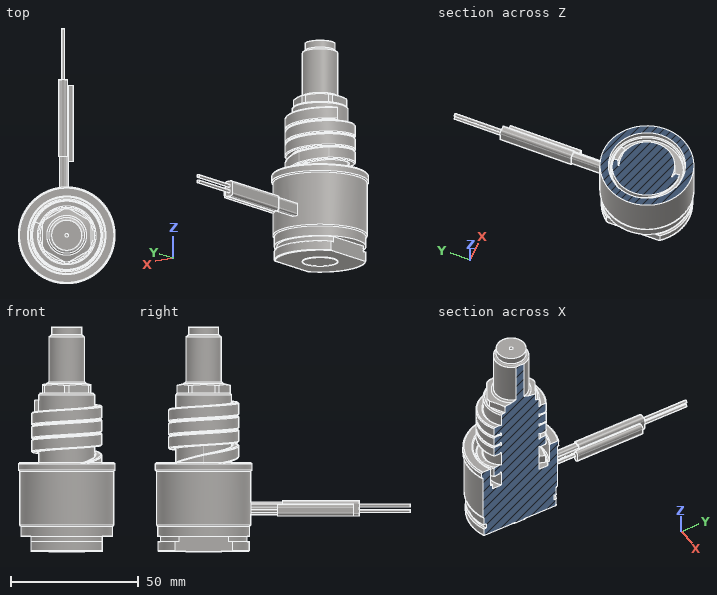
import cadquery as cq
import math

total_height = 88.2

foot_radius = 7.0
foot_height = 0.3
base_radius = 18.0
base_chamfer = 0.3
base_neck_radius = 17.0
base_neck_z = 4.1
base_ring_z = 6.2
flat_half_width = 14.0

housing_radius = 18.5
housing_z = 10.1
rim_radius = 19.0
rim_z = 31.7
rim_chamfer = 0.5
housing_top_z = 35.1
bore_radius = 15.0
bore_chamfer = 0.4
bore_ledge_radius = 14.3
bore_ledge_z = 26.0
bore_floor_z = 24.0

stem_radius = 11.0
stem_chamfer = 0.6
stem_top_z = 62.3
hex_across_flats = 19.0
hex_corner_radius = 10.5
hex_edge_z = 65.4
hex_crown_radius = 7.8
hex_crown_z = 66.1
shaft_radius = 7.0
shaft_base_z = 66.8
shaft_top_z = 84.4
shoulder_radius = 6.3
shoulder_z = 84.9
tip_radius = 5.9
tip_base_z = 85.4
center_hole_radius = 0.7
center_hole_depth = 1.5

coil_outer_radius = 13.8
coil_inner_radius = 10.5
coil_height = 5.0
coil_edge_chamfer = 0.4
coil_inner_chamfer = 1.0
coil_pitch = 5.3
coil_start_angle = 142.0
coil_end_angle = 157.0
coil_full_turns = 3
coil_start_z = 38.6
lead_stretches = [(10.0, 52.0), (15.0, 90.0), (21.0, 90.0), (10.0, 200.0)]

cable_root_y = 16.0
cable_z = 17.2
wire_end_y = 81.0
wire_diameter = 1.2
wire_spacing = 2.2
wire_x = -1.4
return_wire_x = 0.2
cable_width = 2.9
cable_height = 5.1
cable_fillet = 0.7
sheath_width = 3.6
sheath_height = 6.1
sheath_fillet = 1.0
sheath_start_y = 30.9
sheath_end_y = 61.0
sleeve_x = 1.3
sleeve_z = 16.5
sleeve_width = 2.6
sleeve_height = 4.7
sleeve_start_y = 28.9
sleeve_end_y = 58.8


def revolve_profile(points):
    """Revolve a closed (radius, z) outline about the Z axis."""
    return cq.Workplane("XZ").polyline(points).close().revolve(360, (0, 0, 0), (0, 1, 0))


def make_base():
    profile = revolve_profile([
        (0, 0),
        (foot_radius, 0),
        (foot_radius, foot_height),
        (base_radius - base_chamfer, foot_height),
        (base_radius, foot_height + base_chamfer),
        (base_radius, base_neck_z),
        (base_neck_radius, base_neck_z),
        (base_neck_radius, base_ring_z),
        (0, base_ring_z),
    ])
    flats = cq.Workplane("XY").box(2 * flat_half_width, 2 * base_radius, 2 * base_ring_z)
    return profile.intersect(flats)


def make_housing():
    return revolve_profile([
        (0, base_ring_z),
        (base_radius, base_ring_z),
        (base_radius, housing_z),
        (housing_radius, housing_z + housing_radius - base_radius),
        (housing_radius, rim_z),
        (rim_radius, rim_z + rim_chamfer),
        (rim_radius, housing_top_z - rim_chamfer),
        (rim_radius - rim_chamfer, housing_top_z),
        (bore_radius + bore_chamfer, housing_top_z),
        (bore_radius, housing_top_z - bore_chamfer),
        (bore_radius, bore_ledge_z),
        (bore_ledge_radius, bore_ledge_z),
        (bore_ledge_radius, bore_floor_z),
        (0, bore_floor_z),
    ])


def make_stem():
    stem = revolve_profile([
        (0, base_ring_z),
        (stem_radius, base_ring_z),
        (stem_radius, stem_top_z - stem_chamfer),
        (stem_radius - stem_chamfer, stem_top_z),
        (0, stem_top_z),
    ])
    hex_diameter = hex_across_flats / math.cos(math.pi / 6)
    hexagon = (
        cq.Workplane("XY").workplane(offset=stem_top_z)
        .polygon(6, hex_diameter).extrude(hex_crown_z - stem_top_z)
        .rotate((0, 0, 0), (0, 0, 1), 30)
    )
    crown = revolve_profile([
        (0, stem_top_z),
        (hex_corner_radius, stem_top_z),
        (hex_corner_radius, hex_edge_z),
        (hex_crown_radius, hex_crown_z),
        (0, hex_crown_z),
    ])
    return stem.union(hexagon.intersect(crown))


def make_shaft():
    shaft = revolve_profile([
        (0, stem_top_z),
        (shaft_radius, stem_top_z),
        (hex_crown_radius, hex_crown_z),
        (shaft_radius, shaft_base_z),
        (shaft_radius, shaft_top_z),
        (shoulder_radius, shoulder_z),
        (tip_radius, tip_base_z),
        (tip_radius, total_height),
        (0, total_height),
    ])
    hole = (
        cq.Workplane("XY").workplane(offset=total_height)
        .circle(center_hole_radius).extrude(-center_hole_depth)
    )
    return shaft.cut(hole)


def make_strip(pitch, turns, bottom_z, start_angle):
    """Right-handed helical strip climbing from bottom_z at start_angle."""
    path = cq.Wire.makeHelix(pitch, pitch * turns, coil_outer_radius)
    section = cq.Workplane("XZ").polyline([
        (coil_inner_radius, coil_inner_chamfer),
        (coil_inner_radius + coil_inner_chamfer, 0),
        (coil_outer_radius - coil_edge_chamfer, 0),
        (coil_outer_radius, coil_edge_chamfer),
        (coil_outer_radius, coil_height - coil_edge_chamfer),
        (coil_outer_radius - coil_edge_chamfer, coil_height),
        (coil_inner_radius + coil_inner_chamfer, coil_height),
        (coil_inner_radius, coil_height - coil_inner_chamfer),
    ]).close()
    strip = section.sweep(cq.Workplane(path), isFrenet=True)
    return strip.rotate((0, 0, 0), (0, 0, 1), start_angle).translate((0, 0, bottom_z))


def make_coil():
    """Evenly wound strip on top, then the lead that opens up toward the housing floor."""
    turns = coil_full_turns + (coil_end_angle - coil_start_angle) / 360
    strips = [make_strip(coil_pitch, turns, coil_start_z, coil_start_angle)]
    angle = coil_start_angle
    bottom_z = coil_start_z
    for pitch, degrees in lead_stretches:
        angle -= degrees
        bottom_z -= pitch * degrees / 360
        strips.append(make_strip(pitch, degrees / 360, bottom_z, angle))
    return strips


def rounded_bar(center_x, width, height, fillet, start_y, end_y):
    """Bar along Y with rounded lengthwise edges."""
    length = end_y - start_y
    bar = cq.Workplane("XY").box(width, length, height).edges("|Y").fillet(fillet)
    return bar.translate((center_x, (start_y + end_y) / 2, cable_z))


def wire_pair(center_x, start_y, end_y):
    """Two round wires along Y, one above the other."""
    return (
        cq.Workplane("XZ", origin=(center_x, start_y, cable_z))
        .pushPoints([(0, -wire_spacing / 2), (0, wire_spacing / 2)])
        .circle(wire_diameter / 2).extrude(start_y - end_y)
    )


def make_cables():
    cable = rounded_bar(wire_x, cable_width, cable_height, cable_fillet, cable_root_y, sheath_end_y)
    sheath = rounded_bar(wire_x, sheath_width, sheath_height, sheath_fillet,
                         sheath_start_y, sheath_end_y)
    sleeve = (
        cq.Workplane("XZ", origin=(sleeve_x, sleeve_start_y, sleeve_z))
        .slot2D(sleeve_height, sleeve_width, 90).extrude(sleeve_start_y - sleeve_end_y)
    )
    wires = wire_pair(wire_x, sheath_start_y, wire_end_y)
    return_wires = wire_pair(return_wire_x, cable_root_y, sleeve_end_y)
    return cable.union(sheath).union(sleeve).union(wires).union(return_wires)


result = make_base().union(make_housing()).union(make_stem()).union(make_shaft())
for strip in make_coil():
    result = result.union(strip)
result = result.union(make_cables())